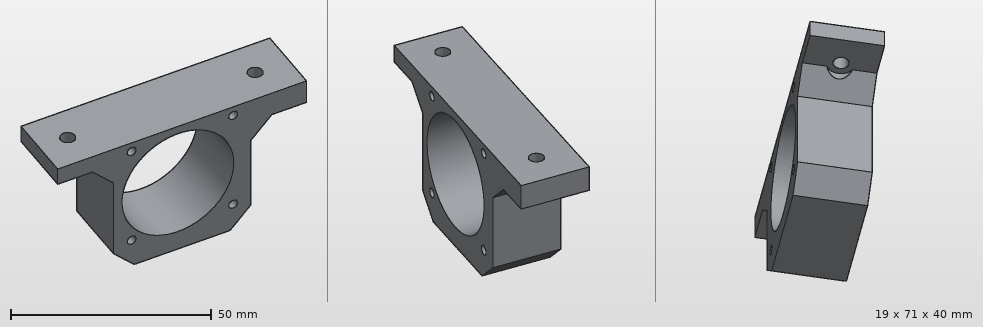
import cadquery as cq

length = 71.0
width = 19.0
height = 40.0

block_length = 39.25
corner_leg = 5.95
front_flange_thickness = 5.0
rear_flange_thickness = 7.0

bore_diameter = 31.9
bore_y = -1.2
bore_depth = 18.3
small_hole_diameter = 2.5
small_hole_spacing = 29.0
small_hole_center_y = 0.1
small_hole_center_depth = 17.25

flange_hole_diameter = 4.0
front_hole_x = 0.0
front_hole_inset = 8.1
rear_hole_x = 0.4
rear_hole_inset = 9.65
head_clearance_diameter = 7.5


def bracket_body():
    """Block with 45 degree lower corners and gussets up to the flanges."""
    half_length = length / 2
    half_block = block_length / 2
    profile = [
        (-half_length, 0),
        (-half_length, -front_flange_thickness),
        (-half_block - corner_leg, -front_flange_thickness),
        (-half_block, -front_flange_thickness - corner_leg),
        (-half_block, -height + corner_leg),
        (-half_block + corner_leg, -height),
        (half_block - corner_leg, -height),
        (half_block, -height + corner_leg),
        (half_block, -rear_flange_thickness - corner_leg),
        (half_block + corner_leg, -rear_flange_thickness),
        (half_length, -rear_flange_thickness),
        (half_length, 0),
    ]
    return cq.Workplane("YZ", origin=(-width / 2, 0, 0)).polyline(profile).close().extrude(width)


def block_holes():
    """Bore and four small holes through the whole width."""
    bore = (
        cq.Workplane("YZ", origin=(-width / 2, 0, 0))
        .center(bore_y, -bore_depth)
        .circle(bore_diameter / 2)
        .extrude(width)
    )
    small_holes = (
        cq.Workplane("YZ", origin=(-width / 2, 0, 0))
        .center(small_hole_center_y, -small_hole_center_depth)
        .rect(small_hole_spacing, small_hole_spacing, forConstruction=True)
        .vertices()
        .circle(small_hole_diameter / 2)
        .extrude(width)
    )
    return bore.union(small_holes)


def vertical_cutter(x, y, diameter, top_depth):
    """Cylinder running down from the given depth past the part's underside."""
    return cq.Workplane("XY", origin=(x, y, -top_depth)).circle(diameter / 2).extrude(-height)


front_hole_y = -length / 2 + front_hole_inset
rear_hole_y = length / 2 - rear_hole_inset
front_hole = vertical_cutter(front_hole_x, front_hole_y, flange_hole_diameter, 0)
rear_hole = vertical_cutter(rear_hole_x, rear_hole_y, flange_hole_diameter, 0)
head_clearance = vertical_cutter(
    front_hole_x, front_hole_y, head_clearance_diameter, front_flange_thickness
)

result = (
    bracket_body()
    .cut(block_holes())
    .cut(front_hole)
    .cut(rear_hole)
    .cut(head_clearance)
)